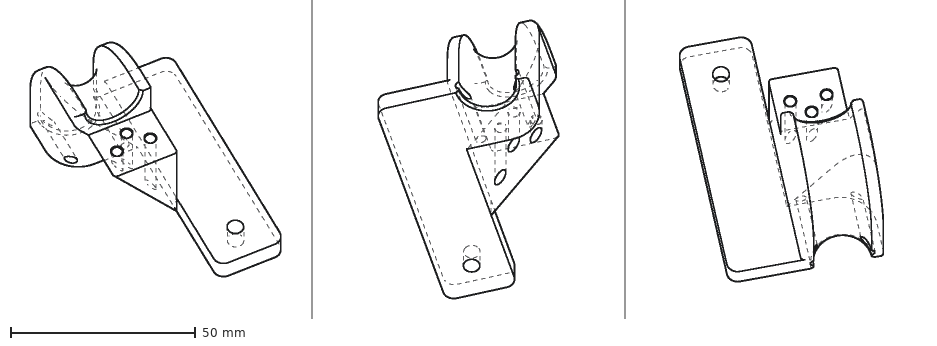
import cadquery as cq
import math

PLATE_LENGTH = 70.0
PLATE_DEPTH = 20.0
PLATE_THICKNESS = 6.0
PLATE_CORNER = 3.0
PLATE_HOLE_DIAMETER = 4.5
PLATE_HOLE_X = 60.0

ELBOW_DEPTH = 22.95
ELBOW_LENGTH = 29.0
ELBOW_HEIGHT = 38.0
BEND_RADIUS = 22.0
BEND_START_Z = ELBOW_HEIGHT - BEND_RADIUS
EDGE_ROUND = 1.0
CHANNEL_RADIUS = 8.0
CHANNEL_CHAMFER = 0.85
CHANNEL_Y = -ELBOW_DEPTH / 2

LEG_CORNER = 10.0
LEG_LENGTH = 2 * LEG_CORNER

BLOCK_END_X = 44.95
BLOCK_HEIGHT = 27.6
BLOCK_DEPTH = 19.2
UNDERCUT_SLOPE = BLOCK_HEIGHT / BLOCK_DEPTH

SCREW_DIAMETER = 3.0
SCREW_COUNTERSINK = 0.2
SCREW_COLUMN_X = 37.3
SCREW_MIDDLE_X = 33.0
SCREW_MIDDLE_Y = -BLOCK_DEPTH / 2
SCREW_SPACING = 5.05

TIE_DIAMETER = 2.9
TIE_OFFSET = 7.5
TIE_Z = 3.0


def make_plate():
    plate = cq.Workplane("XY").box(PLATE_LENGTH, PLATE_DEPTH, PLATE_THICKNESS, centered=False)
    plate = plate.edges("|Z and (>X or >Y)").fillet(PLATE_CORNER)
    hole = (
        cq.Workplane("XY")
        .center(PLATE_HOLE_X, PLATE_DEPTH / 2)
        .circle(PLATE_HOLE_DIAMETER / 2)
        .extrude(PLATE_THICKNESS)
    )
    return plate.cut(hole)


def elbow_path():
    """Outer line of the elbow, from the foot up and over to the free end."""
    middle = BEND_RADIUS * math.sqrt(0.5)
    return (
        cq.Workplane("XZ")
        .lineTo(0, BEND_START_Z)
        .threePointArc(
            (BEND_RADIUS - middle, BEND_START_Z + middle),
            (BEND_RADIUS, ELBOW_HEIGHT),
        )
        .lineTo(ELBOW_LENGTH, ELBOW_HEIGHT)
    )


def make_elbow():
    elbow = elbow_path().lineTo(ELBOW_LENGTH, 0).close().extrude(ELBOW_DEPTH)
    return elbow.edges("(<Y or >Y) and (not <Z)").fillet(EDGE_ROUND)


def make_undercut():
    """Space below the sloped plane, leaving the rounded leg standing."""
    reach = 1.2 * ELBOW_DEPTH
    space = (
        cq.Workplane("YZ")
        .polyline([(0, 0), (-reach, 0), (-reach, reach * UNDERCUT_SLOPE)])
        .close()
        .extrude(BLOCK_END_X)
    )
    leg = cq.Workplane("XY").box(LEG_LENGTH, ELBOW_DEPTH, ELBOW_HEIGHT, centered=False)
    leg = leg.translate((0, -ELBOW_DEPTH, 0)).edges("|Z and >X and <Y").fillet(LEG_CORNER)
    return space.cut(leg)


def make_block():
    block = (
        cq.Workplane("YZ")
        .polyline([(0, 0), (-BLOCK_DEPTH, BLOCK_HEIGHT), (0, BLOCK_HEIGHT)])
        .close()
        .extrude(BLOCK_END_X - BEND_RADIUS)
        .translate((BEND_RADIUS, 0, 0))
    )
    return block.faces(">X").edges("not >Z").fillet(EDGE_ROUND)


def make_channel():
    """Round groove along the outer line, flared at both of its ends."""
    channel = (
        cq.Workplane("XY")
        .center(0, CHANNEL_Y)
        .circle(CHANNEL_RADIUS)
        .sweep(elbow_path().translate((0, CHANNEL_Y, 0)))
    )
    flare_radius = CHANNEL_RADIUS + CHANNEL_CHAMFER
    foot_flare = cq.Solid.makeCone(
        flare_radius, CHANNEL_RADIUS, CHANNEL_CHAMFER,
        pnt=cq.Vector(0, CHANNEL_Y, 0), dir=cq.Vector(0, 0, 1),
    )
    end_flare = cq.Solid.makeCone(
        flare_radius, CHANNEL_RADIUS, CHANNEL_CHAMFER,
        pnt=cq.Vector(ELBOW_LENGTH, CHANNEL_Y, ELBOW_HEIGHT), dir=cq.Vector(-1, 0, 0),
    )
    return channel.union(foot_flare).union(end_flare)


def make_screw_holes():
    points = [
        (SCREW_COLUMN_X, SCREW_MIDDLE_Y - SCREW_SPACING),
        (SCREW_MIDDLE_X, SCREW_MIDDLE_Y),
        (SCREW_COLUMN_X, SCREW_MIDDLE_Y + SCREW_SPACING),
    ]
    radius = SCREW_DIAMETER / 2
    holes = cq.Workplane("XY").pushPoints(points).circle(radius).extrude(BLOCK_HEIGHT)
    for x, y in points:
        countersink = cq.Solid.makeCone(
            radius + SCREW_COUNTERSINK, radius, SCREW_COUNTERSINK,
            pnt=cq.Vector(x, y, BLOCK_HEIGHT), dir=cq.Vector(0, 0, -1),
        )
        holes = holes.union(countersink)
    return holes


def make_tie_holes():
    return (
        cq.Workplane("YZ")
        .pushPoints([(CHANNEL_Y - TIE_OFFSET, TIE_Z), (CHANNEL_Y + TIE_OFFSET, TIE_Z)])
        .circle(TIE_DIAMETER / 2)
        .extrude(BLOCK_END_X)
    )


def make_plate_joint():
    """Squares off the elbow's rounded back edge where it meets the plate."""
    joint = cq.Workplane("XY").box(EDGE_ROUND, EDGE_ROUND, PLATE_THICKNESS, centered=False)
    return joint.translate((0, -EDGE_ROUND, 0))


result = (
    make_elbow()
    .cut(make_undercut())
    .union(make_block())
    .union(make_plate_joint())
    .cut(make_channel())
    .union(make_plate())
    .cut(make_screw_holes())
    .cut(make_tie_holes())
)